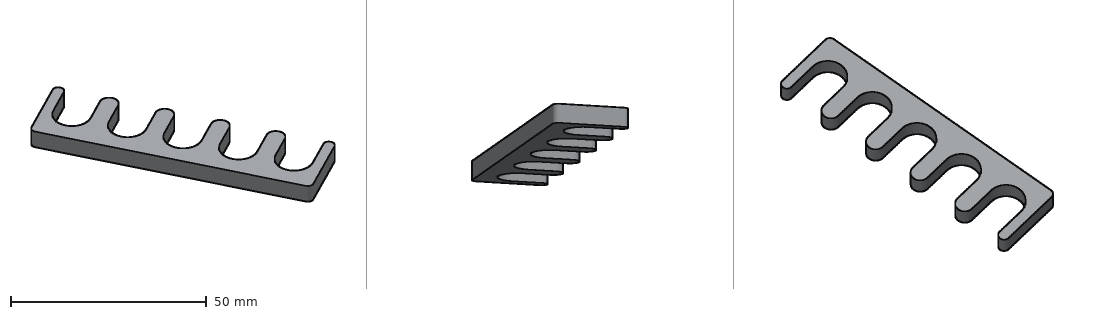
import cadquery as cq

length = 76.0
depth = 20.0
thickness = 5.0
slot_count = 5
slot_pitch = 15.0
slot_width = 10.0
spine_width = 5.0

tooth_width = slot_pitch - slot_width
end_tooth_width = (length - (slot_count - 1) * slot_pitch - slot_width) / 2
slot_radius = slot_width / 2
corner_radius = end_tooth_width / 2
slot_center_y = spine_width + slot_radius


def rounded_tooth(center_x, width):
    """Tooth rising from the spine, with a fully rounded tip."""
    half_width = width / 2
    shoulder_y = depth - half_width
    return (
        cq.Workplane("XY")
        .moveTo(center_x - half_width, slot_center_y)
        .lineTo(center_x + half_width, slot_center_y)
        .lineTo(center_x + half_width, shoulder_y)
        .threePointArc((center_x, depth), (center_x - half_width, shoulder_y))
        .close()
        .extrude(thickness)
    )


spine = (
    cq.Workplane("XY")
    .rect(length, slot_center_y)
    .extrude(thickness)
    .translate((0, slot_center_y / 2, 0))
    .edges("|Z and <Y")
    .fillet(corner_radius)
)

first_slot_x = -(slot_count - 1) * slot_pitch / 2
slot_centers = [(first_slot_x + i * slot_pitch, slot_center_y) for i in range(slot_count)]
slot_bottoms = cq.Workplane("XY").pushPoints(slot_centers).circle(slot_radius).extrude(thickness)
result = spine.cut(slot_bottoms)

for i in range(slot_count - 1):
    result = result.union(rounded_tooth(first_slot_x + (i + 0.5) * slot_pitch, tooth_width))

for side in (-1, 1):
    result = result.union(rounded_tooth(side * (length - end_tooth_width) / 2, end_tooth_width))

result = result.clean().translate((0, -depth / 2, -thickness / 2))